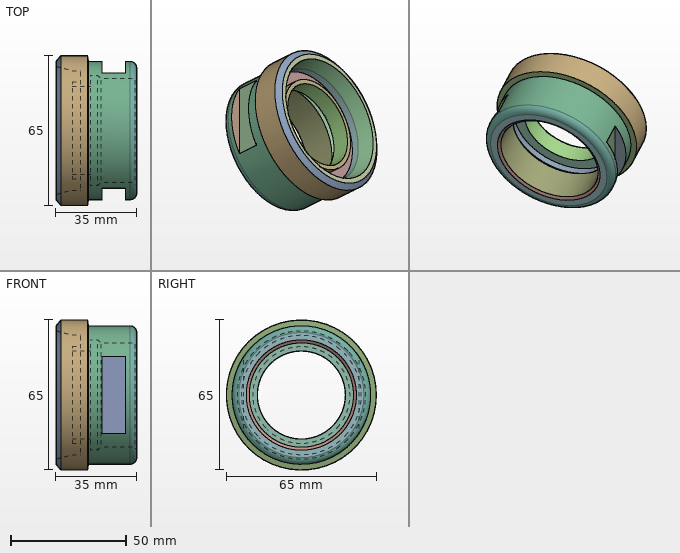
import cadquery as cq

length = 35.0
collar_diameter = 65.0
body_diameter = 60.0

front_bevel_length = 2.1
collar_end = 13.65
shoulder_end = 14.05
rear_round_radius = 2.9

socket_mouth_diameter = 55.6
socket_floor_diameter = 51.8
taper_depth = 7.0
socket_depth = 10.5
lip_diameter = 42.0
lip_tip_depth = 7.0

bore_diameter = 38.0
bore_end = 15.0
groove_diameter = 47.8
groove_taper_length = 1.55
rear_bore_diameter = 45.2
rear_bore_start = 19.55
rear_bevel_diameter = groove_diameter
rear_bevel_length = 0.85

slot_start = 19.95
slot_width = 10.0
slot_depth = 5.0


def revolve_about_x(profile):
    """Turn a closed half profile into a solid around the X axis."""
    return profile.revolve(360, (0, 0, 0), (1, 0, 0))


def outer_solid():
    """Collar and body, with a bevelled front edge and a rounded rear edge."""
    collar_radius = collar_diameter / 2
    body_radius = body_diameter / 2
    profile = (
        cq.Workplane("XY")
        .polyline([
            (0, 0),
            (0, body_radius),
            (front_bevel_length, collar_radius),
            (collar_end, collar_radius),
            (shoulder_end, body_radius),
            (length - rear_round_radius, body_radius),
        ])
        .radiusArc((length, body_radius - rear_round_radius), rear_round_radius)
        .lineTo(length, 0)
        .close()
    )
    return revolve_about_x(profile)


def inner_cavity():
    """Space removed inside: socket around the lip, bore, relief groove and rear bore."""
    profile = (
        cq.Workplane("XY")
        .polyline([
            (0, 0),
            (0, socket_mouth_diameter / 2),
            (taper_depth, socket_floor_diameter / 2),
            (socket_depth, socket_floor_diameter / 2),
            (socket_depth, lip_diameter / 2),
            (lip_tip_depth, lip_diameter / 2),
            (lip_tip_depth, bore_diameter / 2),
            (bore_end, bore_diameter / 2),
            (bore_end, groove_diameter / 2),
            (rear_bore_start - groove_taper_length, groove_diameter / 2),
            (rear_bore_start, rear_bore_diameter / 2),
            (length - rear_bevel_length, rear_bore_diameter / 2),
            (length, rear_bevel_diameter / 2),
            (length, 0),
        ])
        .close()
    )
    return revolve_about_x(profile)


def wrench_slot(side):
    """Straight slot with a flat floor across one side (-1 or +1 along Y)."""
    floor_distance = body_diameter / 2 - slot_depth
    cutter_depth = 2 * slot_depth
    return (
        cq.Workplane("XY")
        .box(slot_width, cutter_depth, body_diameter)
        .translate((slot_start + slot_width / 2, side * (floor_distance + cutter_depth / 2), 0))
    )


result = outer_solid().cut(inner_cavity())
for side in (-1, 1):
    result = result.cut(wrench_slot(side))